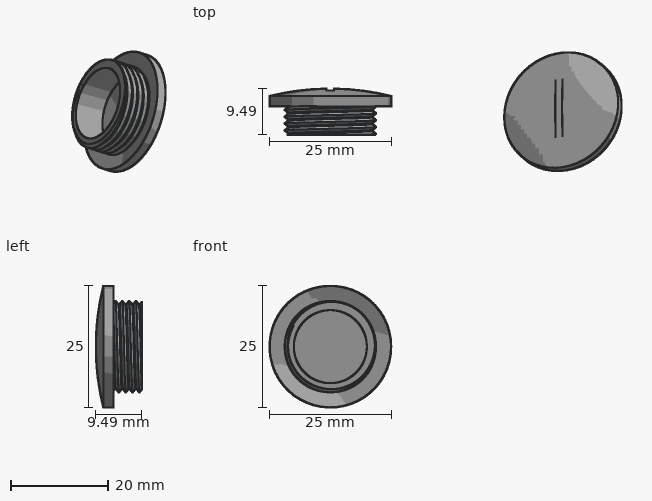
import cadquery as cq
import math

cap_radius = 12.5
rim_height = 2.1
dome_rise = 1.55
slot_width = 1.5
slot_depth = 0.38

neck_length = 5.85
bore_radius = 7.5
crest_radius = 9.38
root_radius = 8.68

crest_offset = -0.05
pitch = 1.4
thread_angle = 80.0
thread_embed = 0.08

neck_overlap = dome_rise


def make_cap():
    """Constant-height shell with equally domed upper and lower faces."""
    mid_radius = cap_radius / 2
    sphere_radius = (cap_radius**2 + dome_rise**2) / (2 * dome_rise)
    mid_rise = math.sqrt(sphere_radius**2 - mid_radius**2) - (sphere_radius - dome_rise)
    return (
        cq.Workplane("XY")
        .moveTo(0, dome_rise)
        .threePointArc((mid_radius, mid_rise), (cap_radius, 0))
        .lineTo(cap_radius, rim_height)
        .threePointArc((mid_radius, rim_height + mid_rise), (0, rim_height + dome_rise))
        .close()
        .revolve(360, (0, 0, 0), (0, 1, 0))
    )


def cylinder_along_y(radius, bottom, top):
    return (
        cq.Workplane("XZ", origin=(0, bottom, 0))
        .circle(radius)
        .extrude(-(top - bottom))
    )


def make_thread_ridge():
    """Triangular ridge, swept past both ends of the neck."""
    turns_below = math.ceil(neck_length / pitch) + 1
    turns_above = 1
    start = crest_offset - turns_below * pitch
    height = (turns_below + turns_above) * pitch
    inner_radius = root_radius - thread_embed
    half_base = (crest_radius - inner_radius) * math.tan(math.radians(thread_angle / 2))
    helix = cq.Wire.makeHelix(pitch, height, root_radius)
    ridge = (
        cq.Workplane("XZ")
        .polyline([(inner_radius, -half_base), (crest_radius, 0), (inner_radius, half_base)])
        .close()
        .sweep(cq.Workplane(obj=helix), isFrenet=True)
    )
    return ridge.rotate((0, 0, 0), (1, 0, 0), -90).translate((0, start, 0))


def make_neck():
    core = cylinder_along_y(root_radius, -neck_length, neck_overlap)
    envelope = cylinder_along_y(cap_radius, -neck_length, neck_overlap)
    bore = cylinder_along_y(bore_radius, -neck_length, neck_overlap)
    ridge = make_thread_ridge().intersect(envelope)
    return core.union(ridge).cut(bore)


def make_slot():
    """Straight driver slot along Z across the crown."""
    crown = rim_height + dome_rise
    return cq.Workplane("XY").box(slot_width, 2 * slot_depth, 2 * cap_radius).translate((0, crown, 0))


result = make_cap().union(make_neck()).cut(make_slot())